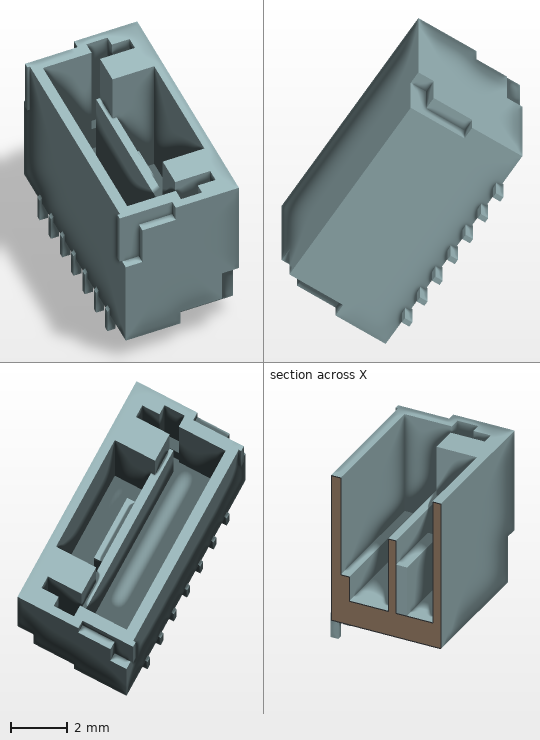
import cadquery as cq


length = 9.0
depth = 4.4
height = 6.0
front_overhang = 0.1

floor_z = 1.0
cavity_half_width = 3.735
cavity_front = 0.4
cavity_back = 2.29
front_ledge_back = 0.74
ledge_z = 2.0

slot_inner = 3.33
slot_outer = 3.81
slot_back = 3.8
keyway_outer = 4.185
keyway_back = 3.105
keyway_floor_z = ledge_z

latch_half_width = 2.22
latch_back = 4.06
cross_wall_back = 2.6
cross_wall_z = 4.0
block_front = 2.44
catch_half_width = 1.25
catch_back = 3.04
catch_z = 3.0

arm_width = 0.65
arm_height = 0.62
upper_recess_depth = 0.315
upper_recess_reach = 1.94
upper_recess_drop = 2.24
lower_recess_depth = 0.5
lower_recess_reach = 2.28
lower_recess_rise = 1.89
lower_arm_height = 0.6

plate_thickness = 0.2
plate_drop = 2.205

pin_count = 7
pin_pitch = 1.0
pin_width = 0.21
pin_back = 0.22
pin_bottom = -0.8
pin_top = 0.3
pin_chamfer = front_overhang


def box(x_min, x_max, y_min, y_max, z_min, z_max):
    """Axis-aligned box between the given limits."""
    size = (x_max - x_min, y_max - y_min, z_max - z_min)
    return cq.Workplane("XY").box(*size, centered=False).translate((x_min, y_min, z_min))


def both_ends(shape):
    """The shape together with its mirror image across X = 0."""
    return shape.union(shape.mirror("YZ"))


def end_profile(points, x_min, thickness):
    """Outline in (Y, Z) extruded along +X from x_min, repeated at both ends."""
    return both_ends(cq.Workplane("YZ", origin=(x_min, 0, 0)).polyline(points).close().extrude(thickness))


def main_cavity():
    cavity = box(-cavity_half_width, cavity_half_width, cavity_front, cavity_back, floor_z, height)
    ledge = box(-cavity_half_width, cavity_half_width, cavity_front, front_ledge_back, floor_z, ledge_z)
    slot = box(slot_inner, slot_outer, cavity_back, slot_back, floor_z, height)
    keyway = box(slot_outer, keyway_outer, cavity_back, keyway_back, keyway_floor_z, height)
    return cavity.cut(ledge).union(both_ends(slot)).union(both_ends(keyway))


def latch_pocket():
    pocket = box(-latch_half_width, latch_half_width, cross_wall_back, latch_back, floor_z, height)
    catch = box(-catch_half_width, catch_half_width, cross_wall_back, catch_back, floor_z, catch_z)
    wide_gap = box(-slot_inner, slot_inner, cavity_back, block_front, cross_wall_z, height)
    narrow_gap = box(-latch_half_width, latch_half_width, block_front, cross_wall_back, cross_wall_z, height)
    return pocket.cut(catch).union(wide_gap).union(narrow_gap)


def upper_recesses():
    outline = [
        (0, height),
        (upper_recess_reach, height),
        (upper_recess_reach, height - arm_height),
        (arm_width, height - arm_height),
        (arm_width, height - upper_recess_drop),
        (0, height - upper_recess_drop),
    ]
    return end_profile(outline, -length / 2, upper_recess_depth)


def lower_recesses():
    outline = [
        (depth, 0),
        (depth - lower_recess_reach, 0),
        (depth - lower_recess_reach, lower_arm_height),
        (depth - arm_width, lower_arm_height),
        (depth - arm_width, lower_recess_rise),
        (depth, lower_recess_rise),
    ]
    return end_profile(outline, -length / 2, lower_recess_depth)


def anchor_plates():
    outline = [
        (-front_overhang, height),
        (upper_recess_reach, height),
        (upper_recess_reach, height - arm_height),
        (arm_width, height - arm_height),
        (arm_width, height - plate_drop),
        (-front_overhang, height - plate_drop),
    ]
    return end_profile(outline, -length / 2 + upper_recess_depth, plate_thickness)


def pins():
    row = cq.Workplane("XY")
    for index in range(pin_count):
        x = (index - (pin_count - 1) / 2) * pin_pitch
        pin = box(x - pin_width / 2, x + pin_width / 2, -front_overhang, pin_back, pin_bottom, pin_top)
        row = row.add(pin.edges("<Y and >Z").chamfer(pin_chamfer))
    return row.combine()


housing = box(-length / 2, length / 2, 0, depth, 0, height)
housing = housing.cut(main_cavity()).cut(latch_pocket())
housing = housing.cut(upper_recesses()).cut(lower_recesses())
result = housing.union(anchor_plates()).union(pins())